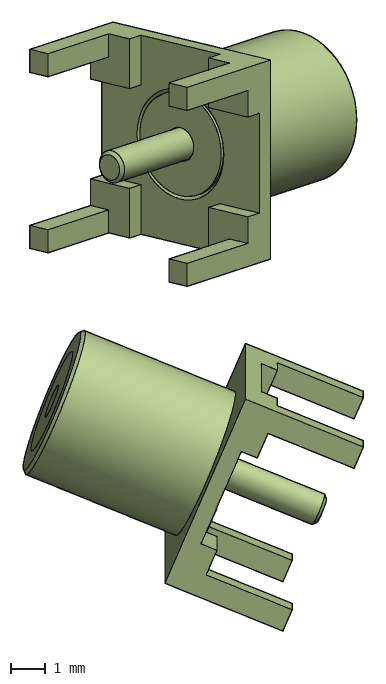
import cadquery as cq

overall_length = 8.51
edge_chamfer = 0.1

flange_side = 6.0
flange_thickness = 0.5
leg_reach = 3.7
leg_side = 0.7
pad_side = 1.5
pad_height = 0.5
barrel_diameter = 4.5
barrel_length = overall_length - leg_reach
bore_diameter = 3.1

pin_hole_diameter = 1.0

pin_diameter = 0.96
pin_setback = 0.05


def cylinder(diameter, start_y, end_y):
    """Solid cylinder on the connector axis between two Y positions."""
    return (
        cq.Workplane("XZ", origin=(0, start_y, 0))
        .circle(diameter / 2)
        .extrude(start_y - end_y)
    )


def corner_block(side, length, x_sign, z_sign):
    """Square block flush with one flange corner, running from Y = 0 toward -Y."""
    offset = (flange_side - side) / 2
    return (
        cq.Workplane("XZ")
        .center(x_sign * offset, z_sign * offset)
        .rect(side, side)
        .extrude(length)
    )


def make_housing():
    """Flange with four padded legs, a chamfered barrel and a through bore."""
    body = cq.Workplane("XZ").rect(flange_side, flange_side).extrude(flange_thickness)
    for x_sign in (-1, 1):
        for z_sign in (-1, 1):
            body = body.union(corner_block(pad_side, flange_thickness + pad_height, x_sign, z_sign))
            body = body.union(corner_block(leg_side, leg_reach, x_sign, z_sign))

    barrel = cylinder(barrel_diameter, 0, barrel_length).faces(">Y").edges().chamfer(edge_chamfer)
    body = body.union(barrel)

    body = body.cut(cylinder(bore_diameter, -flange_thickness, barrel_length))
    bore_mouth = (
        cq.Workplane("XZ", origin=(0, -flange_thickness, 0))
        .circle(bore_diameter / 2 + edge_chamfer)
        .extrude(-edge_chamfer, taper=45)
    )
    return body.cut(bore_mouth)


def make_insulator():
    """Sleeve flush with the flange underside, with a clearance hole for the pin."""
    start_y = -flange_thickness
    sleeve = cylinder(bore_diameter, start_y, barrel_length)
    return sleeve.cut(cylinder(pin_hole_diameter, start_y, barrel_length))


def make_pin():
    """Straight centre contact with a chamfered tip at the board end."""
    pin = cylinder(pin_diameter, pin_setback - leg_reach, barrel_length)
    return pin.faces("<Y").edges().chamfer(edge_chamfer)


housing = make_housing()
insulator = make_insulator()
pin = make_pin()

result = cq.Compound.makeCompound([housing.solids().val(), insulator.solids().val(), pin.solids().val()])